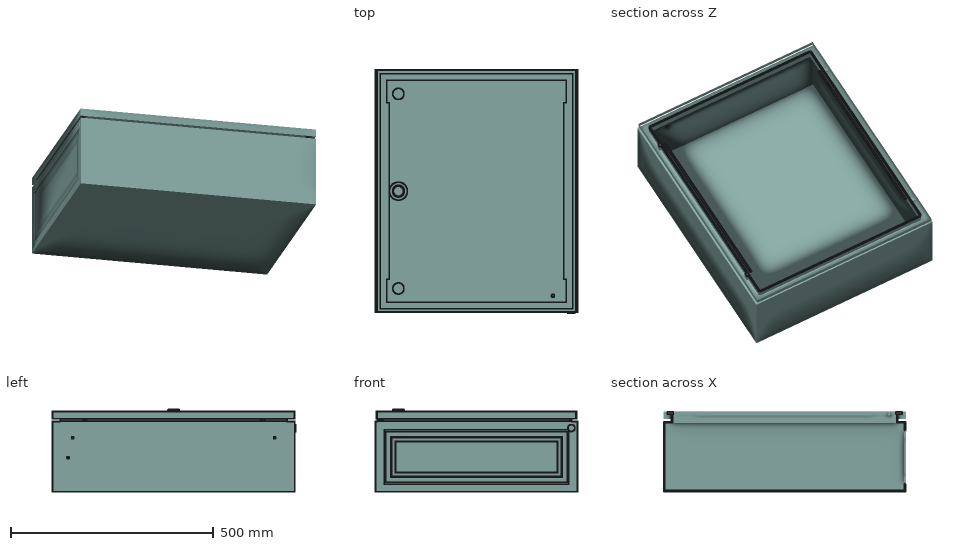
import cadquery as cq

WALL = 4.0
BOX_WIDTH = 500.0
BOX_DEPTH = 600.0
BOX_HEIGHT = 174.0
BOX_FRONT = -BOX_DEPTH / 2

SHEET = 1.5
DOOR_WIDTH = 495.0
DOOR_DEPTH = BOX_DEPTH
DOOR_BOTTOM = 180.5
DOOR_TOP = 199.0
DOOR_INSIDE = DOOR_TOP - SHEET

GASKET_INSET = 9.0
GASKET_WIDTH = 16.0
GASKET_THICKNESS = 6.0
RAIL_INSET = GASKET_INSET + GASKET_WIDTH
RAIL_WIDTH = 6.0
RAIL_HEIGHT = 9.0
RAIL_END_GAP = 82.0
PAD_DIAMETER = 27.5
PAD_Y = 241.0
PAD_HEIGHT = 3.0
DOOR_STUD_DIAMETER = 7.0
DOOR_STUD_X = 189.0
DOOR_STUD_Y = -259.0
DOOR_STUD_HEIGHT = 9.0

RIM_INSET = 19.0
RIM_RADIUS = 5.5
RIM_TOP = DOOR_INSIDE - GASKET_THICKNESS

LUG_INSET = 5.0
LUG_LENGTH = 10.0
LUG_HEIGHT = 2.5
LUG_Y = 220.0

HINGE_WIDTH = 4.0

WALL_HOLE_DIAMETER = 5.5
WALL_HOLE_PLACES = [(250.0, 133.5), (-250.0, 133.5), (261.0, 84.0)]

DISC_DIAMETER = 17.5
DISC_THICKNESS = 2.0
DISC_X = 235.0
DISC_Z = 158.0

GLAND_Z = 86.0
RECESS_WIDTH = 457.5
RECESS_HEIGHT = 133.5
RECESS_DEPTH = 2.5
LEDGE_WIDTH = 4.0
PLATE_WIDTH = RECESS_WIDTH - 2 * LEDGE_WIDTH
PLATE_HEIGHT = RECESS_HEIGHT - 2 * LEDGE_WIDTH
STEP_HEIGHT = 0.5
STEP_SLOPE = 2.0
SINK_INSET = 12.5
PANEL_INSET = 23.5

LOCK_X = -193.0
LOCK_HEAD_DIAMETER = 29.0
LOCK_HEAD_HEIGHT = 5.0
LOCK_HEAD_BEVEL = 2.0
LOCK_SHANK_DIAMETER = 22.0
LOCK_FLANGE_DIAMETER = 44.5
LOCK_FLANGE_THICKNESS = 3.0


def block(width, depth, bottom, top):
    """Upright block centred on the Z axis."""
    return cq.Workplane("XY").workplane(offset=bottom).rect(width, depth).extrude(top - bottom)


def cylinder(x, y, diameter, bottom, top):
    """Upright cylinder."""
    base = cq.Workplane("XY").workplane(offset=bottom).center(x, y)
    return base.circle(diameter / 2).extrude(top - bottom)


def front_plane(depth):
    """Plane facing -Y, centred on the gland plate, at a depth behind the front wall."""
    return cq.Workplane("XZ", origin=(0, BOX_FRONT + depth, GLAND_Z))


def front_block(width, height, outer_depth, inner_depth):
    """Block between two depths behind the front wall."""
    return front_plane(inner_depth).rect(width, height).extrude(inner_depth - outer_depth)


def sloped_step(width, height, start_depth, end_depth):
    """Shallow rectangular frustum that narrows from one depth behind the front wall to another."""
    return (
        front_plane(start_depth)
        .rect(width, height)
        .workplane(offset=start_depth - end_depth)
        .rect(width - 2 * STEP_SLOPE, height - 2 * STEP_SLOPE)
        .loft(combine=True)
    )


def make_rim():
    """Solid rim with rounded corners, and the mouth to cut through it and the box top."""
    width = BOX_WIDTH - 2 * RIM_INSET
    depth = BOX_DEPTH - 2 * RIM_INSET
    outer = block(width, depth, BOX_HEIGHT, RIM_TOP).edges("|Z").fillet(RIM_RADIUS)
    mouth = block(width - 2 * WALL, depth - 2 * WALL, BOX_HEIGHT - WALL, RIM_TOP)
    return outer, mouth.edges("|Z").fillet(RIM_RADIUS - WALL)


def make_box():
    rim, mouth = make_rim()
    box = block(BOX_WIDTH, BOX_DEPTH, 0, BOX_HEIGHT)
    box = box.cut(block(BOX_WIDTH - 2 * WALL, BOX_DEPTH - 2 * WALL, WALL, BOX_HEIGHT - WALL))
    box = box.union(rim).cut(mouth)

    box = box.cut(front_block(RECESS_WIDTH, RECESS_HEIGHT, 0, RECESS_DEPTH))
    box = box.cut(front_block(PLATE_WIDTH, PLATE_HEIGHT, RECESS_DEPTH, WALL))

    lug_width = RIM_INSET - LUG_INSET
    lug_x = -BOX_WIDTH / 2 + LUG_INSET + lug_width / 2
    hinge_x = BOX_WIDTH / 2 - RIM_INSET + HINGE_WIDTH / 2
    for y in (-LUG_Y, LUG_Y):
        lug = block(lug_width, LUG_LENGTH, BOX_HEIGHT, BOX_HEIGHT + LUG_HEIGHT)
        hinge = block(HINGE_WIDTH, LUG_LENGTH, BOX_HEIGHT, RIM_TOP)
        box = box.union(lug.translate((lug_x, y, 0))).union(hinge.translate((hinge_x, y, 0)))

    wall_holes = (
        cq.Workplane("YZ", origin=(-BOX_WIDTH / 2, 0, 0))
        .pushPoints(WALL_HOLE_PLACES)
        .circle(WALL_HOLE_DIAMETER / 2)
        .extrude(WALL)
    )
    disc = (
        cq.Workplane("XZ", origin=(DISC_X, BOX_FRONT, DISC_Z))
        .circle(DISC_DIAMETER / 2)
        .extrude(DISC_THICKNESS)
    )
    return box.cut(wall_holes).union(disc)


def make_gasket():
    """Rectangular ring under the door sheet."""
    width = DOOR_WIDTH - 2 * GASKET_INSET
    depth = DOOR_DEPTH - 2 * GASKET_INSET
    ring = block(width, depth, RIM_TOP, DOOR_INSIDE)
    return ring.cut(block(width - 2 * GASKET_WIDTH, depth - 2 * GASKET_WIDTH, RIM_TOP, DOOR_INSIDE))


def make_door():
    door = block(DOOR_WIDTH, DOOR_DEPTH, DOOR_BOTTOM, DOOR_TOP)
    door = door.cut(
        block(DOOR_WIDTH - 2 * SHEET, DOOR_DEPTH - 2 * SHEET, DOOR_BOTTOM, DOOR_INSIDE)
    )
    door = door.union(make_gasket())

    rail_x = DOOR_WIDTH / 2 - RAIL_INSET - RAIL_WIDTH / 2
    rail_length = DOOR_DEPTH - 2 * RAIL_END_GAP
    for x in (-rail_x, rail_x):
        rail = block(RAIL_WIDTH, rail_length, DOOR_INSIDE - RAIL_HEIGHT, DOOR_INSIDE)
        door = door.union(rail.translate((x, 0, 0)))

    for y in (-PAD_Y, PAD_Y):
        door = door.union(cylinder(LOCK_X, y, PAD_DIAMETER, DOOR_INSIDE - PAD_HEIGHT, DOOR_INSIDE))
    door = door.union(
        cylinder(
            DOOR_STUD_X, DOOR_STUD_Y, DOOR_STUD_DIAMETER, DOOR_INSIDE - DOOR_STUD_HEIGHT, DOOR_INSIDE
        )
    )
    return door.cut(cylinder(LOCK_X, 0, LOCK_SHANK_DIAMETER, DOOR_INSIDE, DOOR_TOP))


def make_lock():
    """Bevelled round head, shank through the door sheet, and a round flange behind it."""
    head = cylinder(LOCK_X, 0, LOCK_HEAD_DIAMETER, DOOR_TOP, DOOR_TOP + LOCK_HEAD_HEIGHT)
    head = head.faces(">Z").chamfer(LOCK_HEAD_BEVEL)
    shank = cylinder(LOCK_X, 0, LOCK_SHANK_DIAMETER, DOOR_INSIDE, DOOR_TOP)
    flange_bottom = DOOR_INSIDE - LOCK_FLANGE_THICKNESS
    flange = cylinder(LOCK_X, 0, LOCK_FLANGE_DIAMETER, flange_bottom, DOOR_INSIDE)
    return head.union(shank).union(flange)


def make_gland_plate():
    """Plate that fills the recess floor, with a shallow sink and a panel raised back level in it."""
    plate = front_block(PLATE_WIDTH, PLATE_HEIGHT, RECESS_DEPTH, WALL)
    sink_depth = RECESS_DEPTH + STEP_HEIGHT
    sink = sloped_step(
        PLATE_WIDTH - 2 * SINK_INSET, PLATE_HEIGHT - 2 * SINK_INSET, RECESS_DEPTH, sink_depth
    )
    panel = sloped_step(
        PLATE_WIDTH - 2 * PANEL_INSET, PLATE_HEIGHT - 2 * PANEL_INSET, sink_depth, RECESS_DEPTH
    )
    return plate.cut(sink).union(panel)


box = make_box()
door = make_door()
lock = make_lock()
gland_plate = make_gland_plate()

result = cq.Compound.makeCompound([box.val(), door.val(), lock.val(), gland_plate.val()])